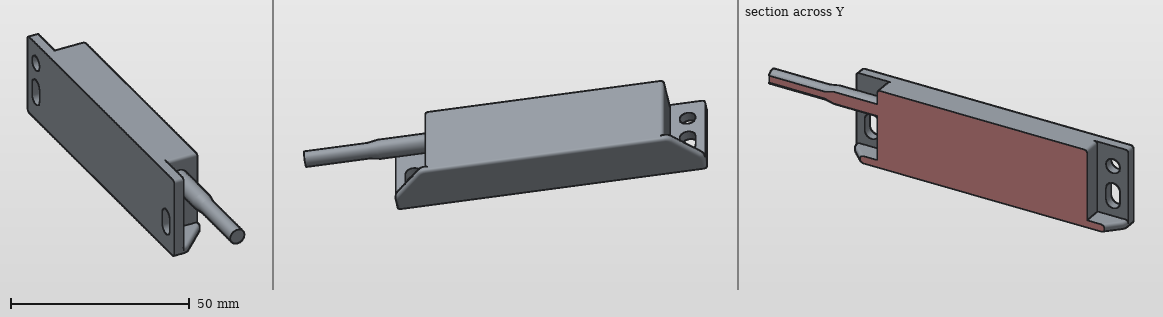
import cadquery as cq
import math

PLATE_LENGTH = 88.0
PLATE_HEIGHT = 25.0
PLATE_THICKNESS = 3.0
EDGE_RADIUS = 1.0

BODY_DEPTH = 13.0
BODY_END_INSET = 10.0

RIB_SLOPE_ANGLE = 45.0
RIB_THICKNESS = 2.5
RIB_BEND_RADIUS = 3.0
BEND_TANGENT_LENGTH = RIB_BEND_RADIUS * math.tan(math.radians(RIB_SLOPE_ANGLE / 2))
RIB_TOE_DEPTH = PLATE_THICKNESS + BEND_TANGENT_LENGTH
RIB_TOP_INSET = (BODY_DEPTH - RIB_TOE_DEPTH) / math.tan(math.radians(RIB_SLOPE_ANGLE))

HOLE_DIAMETER = 4.5
HOLE_INSET = 5.0
SLOT_LENGTH = 8.0
SLOT_Z = 9.0

CABLE_Y = 6.75
CABLE_Z = 18.5
CABLE_DIAMETER = 4.5
GLAND_DIAMETER = 5.5
GLAND_END_X = 92.0
TAPER_LENGTH = 3.0
CABLE_END_X = 113.0


def make_plate():
    """Rectangular plate with rounded corners."""
    plate = cq.Workplane("XY").box(PLATE_LENGTH, PLATE_THICKNESS, PLATE_HEIGHT, centered=False)
    return plate.edges("|Y").fillet(EDGE_RADIUS)


def make_body():
    """Housing block, rounded on every edge away from the mounting face."""
    length = PLATE_LENGTH - 2 * BODY_END_INSET
    body = cq.Workplane("XY").box(length, BODY_DEPTH, PLATE_HEIGHT, centered=False)
    body = body.edges("|Y or >Y").fillet(EDGE_RADIUS)
    return body.translate((BODY_END_INSET, 0, 0))


def make_ribs():
    """Full-length wall whose sloped, rounded ends form the two ribs."""
    profile = [
        (0, 0),
        (PLATE_LENGTH, 0),
        (PLATE_LENGTH, RIB_TOE_DEPTH),
        (PLATE_LENGTH - RIB_TOP_INSET, BODY_DEPTH),
        (RIB_TOP_INSET, BODY_DEPTH),
        (0, RIB_TOE_DEPTH),
    ]
    wall = cq.Workplane("XY").polyline(profile).close().extrude(RIB_THICKNESS)
    wall = wall.edges("|Z").edges("not <Y").fillet(RIB_BEND_RADIUS)
    return wall.faces("<Z or >Z").edges("not <Y").fillet(EDGE_RADIUS)


def make_cable():
    """Cable with its gland and tapered bend relief, turned about the cable axis."""
    start_x = PLATE_LENGTH - BODY_END_INSET - EDGE_RADIUS
    taper_end_x = GLAND_END_X + TAPER_LENGTH
    profile = [
        (start_x, 0),
        (start_x, GLAND_DIAMETER / 2),
        (GLAND_END_X, GLAND_DIAMETER / 2),
        (taper_end_x, CABLE_DIAMETER / 2),
        (CABLE_END_X, CABLE_DIAMETER / 2),
        (CABLE_END_X, 0),
    ]
    cable = cq.Workplane("XY").polyline(profile).close().revolve(360, (0, 0), (1, 0))
    return cable.translate((0, CABLE_Y, CABLE_Z))


def make_hole_cutters():
    """Round hole and two upright slots through the plate ends."""
    plane = cq.Workplane("XZ")
    hole = plane.center(HOLE_INSET, CABLE_Z).circle(HOLE_DIAMETER / 2)
    cutters = hole.extrude(-PLATE_THICKNESS)
    for x in (HOLE_INSET, PLATE_LENGTH - HOLE_INSET):
        slot = cq.Workplane("XZ").center(x, SLOT_Z).slot2D(SLOT_LENGTH, HOLE_DIAMETER, 90)
        cutters = cutters.union(slot.extrude(-PLATE_THICKNESS))
    return cutters


result = (
    make_plate()
    .union(make_body())
    .union(make_ribs())
    .union(make_cable())
    .cut(make_hole_cutters())
)